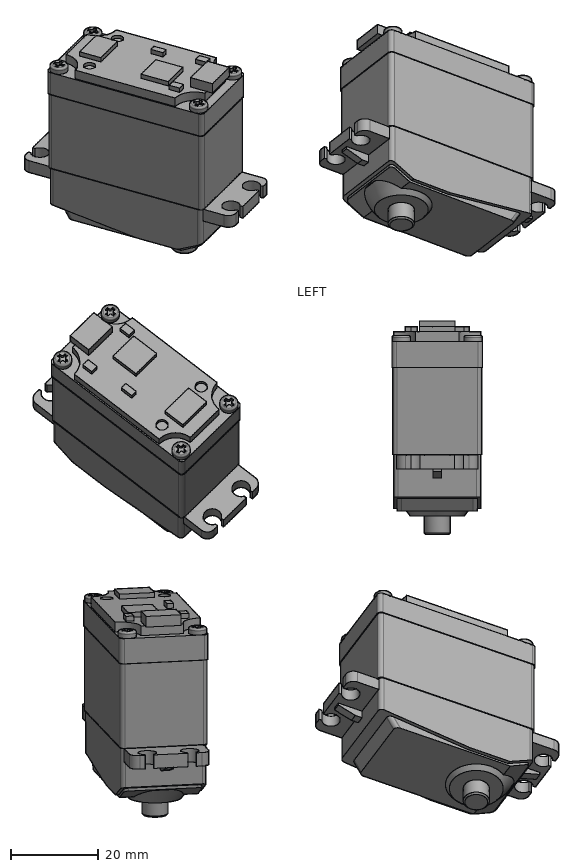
import cadquery as cq


CASE_CORNER_RADIUS = 1.05
COVER_LENGTH = 40.5
COVER_WIDTH = 20.7
COVER_BOTTOM = 20.0
COVER_TOP = 25.95
MIDDLE_LENGTH = 40.15
MIDDLE_WIDTH = 20.4
MIDDLE_BOTTOM = 0.1
LOWER_LENGTH = 39.55
LOWER_WIDTH = 20.0

LOWER_LEFT_Z = -9.55
LOWER_FLAT_Z = -12.2
LOWER_RIGHT_Z = -9.1
FLAT_START_X = 3.4
FLAT_END_X = 13.5

GEAR_COVER_WIDTH = 18.35
GEAR_COVER_ROOF_Z = -8.2
GEAR_COVER_FLOOR_Z = -12.75
GEAR_COVER_FLOOR_LEFT_X = -15.35
GEAR_COVER_FLOOR_RIGHT_X = 14.05
GEAR_COVER_RIGHT_X = 19.1
GEAR_COVER_BEVEL_TOP_Z = -10.15
GEAR_COVER_LEFT_SLOPE = 0.62

SHAFT_X = 10.05
SHAFT_DIAMETER = 6.0
SHAFT_CHAMFER = 0.4
SHAFT_BOTTOM = -18.15
HOUSING_END_DIAMETER = 12.3
HOUSING_BOTTOM = -13.95
HOUSING_TOP = -10.35
HOUSING_SLOPE = 0.75

FLANGE_LENGTH = 54.5
FLANGE_WIDTH = 18.6
FLANGE_THICKNESS = 3.15
FLANGE_CORNER_RADIUS = 2.0
MOUNT_HOLE_DIAMETER = 4.2
MOUNT_HOLE_X = 24.75
MOUNT_HOLE_Y = 4.95
MOUNT_SLOT_WIDTH = 2.0

RIB_WIDTH = 1.9
RIB_HALF_LENGTH = 25.9
RIB_TIP_HEIGHT = 0.6
RIB_ROOT_HALF_LENGTH = 21.55
RIB_HEIGHT = 2.0

PLATE_LENGTH = 35.95
PLATE_WIDTH = 20.0
PLATE_THICKNESS = 2.3
PLATE_TOP = COVER_TOP + PLATE_THICKNESS
PLATE_NOTCH_RADIUS = 5.0
BLIND_HOLE_DIAMETER = 2.8
BLIND_HOLE_DEPTH = 0.8
BLIND_HOLE_X = -10.95
BLIND_HOLE_Y = 6.75

CHIP_HEIGHT = 1.15
CONNECTOR_HEIGHT = 2.5
COMPONENTS = [
    (-12.2, 0, 5.5, 8.2, CHIP_HEIGHT),
    (0.5, 5.3, 3.15, 1.5, CHIP_HEIGHT),
    (5.55, -2.5, 7.05, 7.15, CHIP_HEIGHT),
    (11.35, 6.45, 2.7, 1.85, CHIP_HEIGHT),
    (11.35, -6.45, 2.7, 1.85, CHIP_HEIGHT),
    (16.6, 0, 5.65, 8.2, CONNECTOR_HEIGHT),
]

SCREW_X = 18.1
SCREW_Y = 8.25
SCREW_HEAD_DIAMETER = 4.2
SCREW_HEAD_HEIGHT = 1.45
SCREW_HEAD_ROUNDING = 0.5
SCREW_CROSS_LENGTH = 2.4
SCREW_CROSS_WIDTH = 0.7
SCREW_CROSS_DEPTH = 0.8
SCREW_CROSS_ROUNDING = 0.3


def box_between(length, width, bottom, top):
    """Block centred on the Z axis, spanning two heights."""
    return cq.Workplane("XY").workplane(offset=bottom).rect(length, width).extrude(top - bottom)


def four_corners(x, y):
    return [(sx * x, sy * y) for sx in (-1, 1) for sy in (-1, 1)]


def side_profile(points, width):
    """Outline in the XZ plane, extruded symmetrically along Y."""
    return cq.Workplane("XZ").polyline(points).close().extrude(width / 2, both=True)


def make_upper_case():
    cover = box_between(COVER_LENGTH, COVER_WIDTH, COVER_BOTTOM, COVER_TOP)
    middle = box_between(MIDDLE_LENGTH, MIDDLE_WIDTH, MIDDLE_BOTTOM, COVER_BOTTOM)
    cover = cover.edges("|Z").fillet(CASE_CORNER_RADIUS)
    return cover.union(middle.edges("|Z").fillet(CASE_CORNER_RADIUS))


def make_lower_case():
    half = LOWER_LENGTH / 2
    shell = side_profile(
        [
            (-half, MIDDLE_BOTTOM),
            (half, MIDDLE_BOTTOM),
            (half, LOWER_RIGHT_Z),
            (FLAT_END_X, LOWER_FLAT_Z),
            (FLAT_START_X, LOWER_FLAT_Z),
            (-half, LOWER_LEFT_Z),
        ],
        LOWER_WIDTH,
    )
    return shell.edges("|Z").fillet(CASE_CORNER_RADIUS)


def make_gear_cover():
    wall_height = GEAR_COVER_ROOF_Z - GEAR_COVER_FLOOR_Z
    roof_left_x = GEAR_COVER_FLOOR_LEFT_X - GEAR_COVER_LEFT_SLOPE * wall_height
    cover = side_profile(
        [
            (roof_left_x, GEAR_COVER_ROOF_Z),
            (GEAR_COVER_RIGHT_X, GEAR_COVER_ROOF_Z),
            (GEAR_COVER_RIGHT_X, GEAR_COVER_BEVEL_TOP_Z),
            (GEAR_COVER_FLOOR_RIGHT_X, GEAR_COVER_FLOOR_Z),
            (GEAR_COVER_FLOOR_LEFT_X, GEAR_COVER_FLOOR_Z),
        ],
        GEAR_COVER_WIDTH,
    )
    cover = cover.faces("<X").edges("not |Y").fillet(CASE_CORNER_RADIUS)
    return cover.edges("|Z").fillet(CASE_CORNER_RADIUS)


def make_output_shaft():
    end_radius = HOUSING_END_DIAMETER / 2
    housing_height = HOUSING_TOP - HOUSING_BOTTOM
    top_radius = end_radius + HOUSING_SLOPE * housing_height
    housing = (
        cq.Workplane("XY", origin=(SHAFT_X, 0, HOUSING_BOTTOM))
        .circle(end_radius)
        .workplane(offset=housing_height)
        .circle(top_radius)
        .loft()
    )
    shaft = (
        cq.Workplane("XY", origin=(SHAFT_X, 0, SHAFT_BOTTOM))
        .circle(SHAFT_DIAMETER / 2)
        .extrude(HOUSING_TOP - SHAFT_BOTTOM)
        .faces("<Z")
        .chamfer(SHAFT_CHAMFER)
    )
    return housing.union(shaft)


def make_flange():
    flange = box_between(FLANGE_LENGTH, FLANGE_WIDTH, -FLANGE_THICKNESS, 0)
    flange = flange.edges("|Z").fillet(FLANGE_CORNER_RADIUS)
    below = flange.faces("<Z").workplane(centerOption="CenterOfBoundBox")
    flange = below.pushPoints(four_corners(MOUNT_HOLE_X, MOUNT_HOLE_Y)).hole(MOUNT_HOLE_DIAMETER)
    slot_length = 2 * (FLANGE_LENGTH / 2 - MOUNT_HOLE_X)
    slots = (
        cq.Workplane("XY")
        .pushPoints(four_corners(FLANGE_LENGTH / 2, MOUNT_HOLE_Y))
        .rect(slot_length, MOUNT_SLOT_WIDTH)
        .extrude(-FLANGE_THICKNESS)
    )
    flange = flange.cut(slots)
    rib_tip_z = -FLANGE_THICKNESS - RIB_TIP_HEIGHT
    rib_bottom_z = -FLANGE_THICKNESS - RIB_HEIGHT
    rib = side_profile(
        [
            (-RIB_HALF_LENGTH, -FLANGE_THICKNESS),
            (RIB_HALF_LENGTH, -FLANGE_THICKNESS),
            (RIB_HALF_LENGTH, rib_tip_z),
            (RIB_ROOT_HALF_LENGTH, rib_bottom_z),
            (-RIB_ROOT_HALF_LENGTH, rib_bottom_z),
            (-RIB_HALF_LENGTH, rib_tip_z),
        ],
        RIB_WIDTH,
    )
    return flange.union(rib)


def make_circuit_plate():
    plate = box_between(PLATE_LENGTH, PLATE_WIDTH, COVER_TOP, PLATE_TOP)
    notches = (
        cq.Workplane("XY")
        .workplane(offset=COVER_TOP)
        .pushPoints(four_corners(PLATE_LENGTH / 2, PLATE_WIDTH / 2))
        .circle(PLATE_NOTCH_RADIUS)
        .extrude(PLATE_THICKNESS)
    )
    blind_holes = (
        cq.Workplane("XY")
        .workplane(offset=PLATE_TOP)
        .pushPoints([(BLIND_HOLE_X, -BLIND_HOLE_Y), (BLIND_HOLE_X, BLIND_HOLE_Y)])
        .circle(BLIND_HOLE_DIAMETER / 2)
        .extrude(-BLIND_HOLE_DEPTH)
    )
    plate = plate.cut(notches).cut(blind_holes)
    for x, y, length, width, height in COMPONENTS:
        component = box_between(length, width, PLATE_TOP, PLATE_TOP + height)
        plate = plate.union(component.translate((x, y, 0)))
    return plate


def make_screw_head():
    head = (
        cq.Workplane("XY")
        .workplane(offset=COVER_TOP)
        .circle(SCREW_HEAD_DIAMETER / 2)
        .extrude(SCREW_HEAD_HEIGHT)
        .faces(">Z")
        .edges()
        .fillet(SCREW_HEAD_ROUNDING)
    )
    head_top = COVER_TOP + SCREW_HEAD_HEIGHT
    cross_bottom = head_top - SCREW_CROSS_DEPTH
    arm = box_between(SCREW_CROSS_LENGTH, SCREW_CROSS_WIDTH, cross_bottom, head_top)
    cross = arm.union(arm.rotate((0, 0, 0), (0, 0, 1), 90))
    inner_corners = cq.selectors.BoxSelector(
        (-SCREW_CROSS_WIDTH, -SCREW_CROSS_WIDTH, cross_bottom - SCREW_CROSS_DEPTH),
        (SCREW_CROSS_WIDTH, SCREW_CROSS_WIDTH, head_top + SCREW_CROSS_DEPTH),
    )
    cross = cross.edges("|Z").edges(inner_corners).fillet(SCREW_CROSS_ROUNDING)
    return head.cut(cross)


result = make_upper_case()
result = result.union(make_lower_case())
result = result.union(make_gear_cover())
result = result.union(make_output_shaft())
result = result.union(make_flange())
result = result.union(make_circuit_plate())
for x, y in four_corners(SCREW_X, SCREW_Y):
    result = result.union(make_screw_head().translate((x, y, 0)))